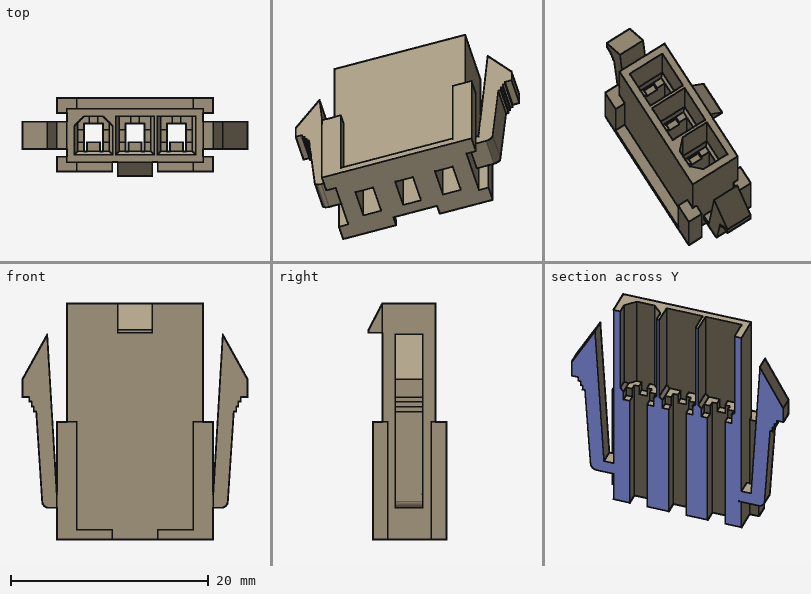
import cadquery as cq

pitch = 4.2
circuits = 3
body_width = 13.8
body_depth = 5.4
body_height = 23.9
body_front = -body_depth / 2
body_back = body_depth / 2
body_side = body_width / 2

rail_outer_x = 7.9
rail_inner_x = 5.9
rail_height = 11.9
back_rail_face = 3.8
back_rail_edge = 2.25
front_rail_face = -3.65
front_rail_edge = -2.15
foot_height = 1.0
front_foot_end = 2.3

wedge_width = 3.5
wedge_face = -4.1
wedge_height = 3.0
wedge_lip = 0.3

arm_width = 2.78
arm_base_z = 3.2
arm_corner_radius = 0.7
arm_floor_z = 4.6
arm_floor_x = 7.9
arm_lower_x = 9.4
arm_upper_x = 10.0
hook_tip = (8.87, 20.75)
hook_outer_x = 11.4
hook_shoulder_z = 16.2
hook_bottom_z = 14.4
grip_steps = [(10.25, 12.95), (10.45, 13.45), (10.7, 13.95)]

mouth_size = 3.9
floor_width = 3.2
floor_front_y = -1.6
cavity_depth = 10.0
funnel_height = (mouth_size - floor_width) / 2
cavity_floor_z = body_height - cavity_depth
cavity_back_y = mouth_size / 2
key_chamfer = 1.0

passage_width = 1.88
passage_back_y = 1.2
tongue_width = 1.35
tongue_back_y = -0.68
tongue_base_z = 6.0
tongue_height = 1.0
recess_depth = 1.0
side_recess_back_y = 0.57
back_recess_width = 0.85


def block(x0, x1, y0, y1, z0, z1):
    """Axis-aligned box between opposite corners."""
    return cq.Workplane("XY").box(x1 - x0, y1 - y0, z1 - z0, centered=False).translate((x0, y0, z0))


def mirrored_pair(solid):
    """The solid together with its mirror image across the YZ plane."""
    return solid.union(solid.mirror("YZ"))


def rails_and_feet():
    back_rail = block(rail_inner_x, rail_outer_x, back_rail_edge, back_rail_face, 0, rail_height)
    front_rail = block(rail_inner_x, rail_outer_x, front_rail_face, front_rail_edge, 0, rail_height)
    front_foot = block(front_foot_end, rail_inner_x, front_rail_face, body_front, 0, foot_height)
    back_foot = block(-rail_inner_x, rail_inner_x, body_back, back_rail_face, 0, foot_height)
    return mirrored_pair(back_rail.union(front_rail).union(front_foot)).union(back_foot)


def polarising_wedge():
    wedge_bottom = body_height - wedge_height
    profile = [
        (body_front, body_height),
        (wedge_face, wedge_bottom + wedge_lip),
        (wedge_face, wedge_bottom),
        (body_front, wedge_bottom),
    ]
    return cq.Workplane("YZ").polyline(profile).close().extrude(wedge_width / 2, both=True)


def latch_arms():
    outline = (
        cq.Workplane("XZ")
        .moveTo(body_side, arm_base_z)
        .lineTo(arm_lower_x - arm_corner_radius, arm_base_z)
        .radiusArc((arm_lower_x, arm_base_z + arm_corner_radius), -arm_corner_radius)
        .lineTo(arm_upper_x, grip_steps[0][1])
    )
    next_heights = [z for _, z in grip_steps[1:]] + [hook_bottom_z]
    for (x, z), z_next in zip(grip_steps, next_heights):
        outline = outline.lineTo(x, z).lineTo(x, z_next)
    outline = (
        outline.lineTo(hook_outer_x, hook_bottom_z)
        .lineTo(hook_outer_x, hook_shoulder_z)
        .lineTo(*hook_tip)
        .lineTo(arm_floor_x, arm_floor_z)
        .lineTo(body_side, arm_floor_z)
        .close()
    )
    return mirrored_pair(outline.extrude(arm_width / 2, both=True))


def cavity_recess(x_center):
    """Upright cavity that funnels into its floor along the front wall and both end walls."""
    floor_length = cavity_back_y - floor_front_y
    floor_center_y = (cavity_back_y + floor_front_y) / 2
    funnel = (
        cq.Workplane("XY", origin=(x_center, 0, cavity_floor_z))
        .center(0, floor_center_y)
        .rect(floor_width, floor_length)
        .workplane(offset=funnel_height)
        .center(0, -floor_center_y)
        .rect(mouth_size, mouth_size)
        .loft(ruled=True)
    )
    upright = (
        cq.Workplane("XY", origin=(x_center, 0, cavity_floor_z + funnel_height))
        .rect(mouth_size, mouth_size)
        .extrude(cavity_depth - funnel_height)
    )
    return upright.union(funnel)


def keyed(cavity, x_center):
    """Cavity with its two back corners cut off as a mating key."""
    envelope = (
        cq.Workplane("XY", origin=(x_center, 0, cavity_floor_z))
        .rect(mouth_size, mouth_size)
        .extrude(cavity_depth)
        .edges("|Z and >Y")
        .chamfer(key_chamfer)
    )
    return cavity.intersect(envelope)


def terminal_passage(x_center):
    """Through passage with shallow recesses in the cavity floor, less a tongue on its front wall."""
    half_passage = passage_width / 2
    half_floor = floor_width / 2
    half_recess = back_recess_width / 2
    recess_z = cavity_floor_z - recess_depth
    passage = block(-half_passage, half_passage, floor_front_y, passage_back_y, 0, cavity_floor_z)
    side_recess = block(-half_floor, half_floor, tongue_back_y, side_recess_back_y, recess_z, cavity_floor_z)
    back_recess = block(-half_recess, half_recess, 0, cavity_back_y, recess_z, cavity_floor_z)
    tongue = block(-tongue_width / 2, tongue_width / 2, floor_front_y, tongue_back_y,
                   tongue_base_z, tongue_base_z + tongue_height)
    return passage.union(side_recess).union(back_recess).cut(tongue).translate((x_center, 0, 0))


def housing():
    body = block(-body_side, body_side, body_front, body_back, 0, body_height)
    body = body.union(rails_and_feet()).union(polarising_wedge()).union(latch_arms())
    for index in range(circuits):
        x_center = (index - (circuits - 1) / 2) * pitch
        cavity = cavity_recess(x_center)
        if index == 0:
            cavity = keyed(cavity, x_center)
        body = body.cut(cavity).cut(terminal_passage(x_center))
    return body


result = housing()